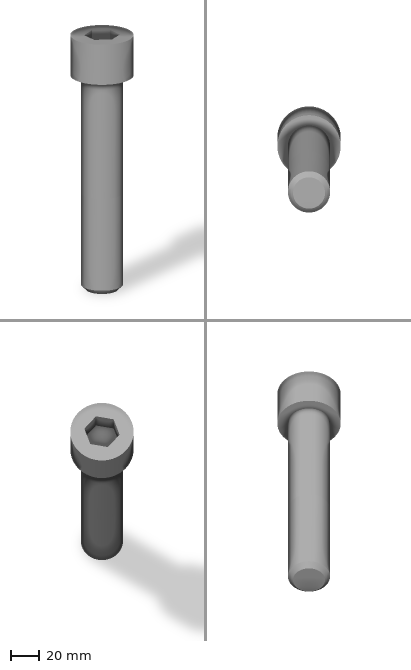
import cadquery as cq
import math

total_length = 190.0
head_diameter = 45.0
head_height = 30.0
shank_diameter = 30.0
thread_length = 72.0
tip_chamfer = 3.6
socket_across_flats = 22.0
socket_depth = 15.5

shank_length = total_length - head_height
plain_length = shank_length - thread_length
socket_across_corners = socket_across_flats / math.cos(math.pi / 6)

thread = (
    cq.Workplane("XY")
    .circle(shank_diameter / 2)
    .extrude(thread_length)
    .faces("<Z")
    .chamfer(tip_chamfer)
)
plain_shank = (
    cq.Workplane("XY")
    .workplane(offset=thread_length)
    .circle(shank_diameter / 2)
    .extrude(plain_length)
)
head = (
    cq.Workplane("XY")
    .workplane(offset=shank_length)
    .circle(head_diameter / 2)
    .extrude(head_height)
)
socket = (
    cq.Workplane("XY")
    .workplane(offset=total_length - socket_depth)
    .polygon(6, socket_across_corners)
    .extrude(socket_depth)
)

result = thread.union(plain_shank, clean=False).union(head, clean=False).cut(socket, clean=False)